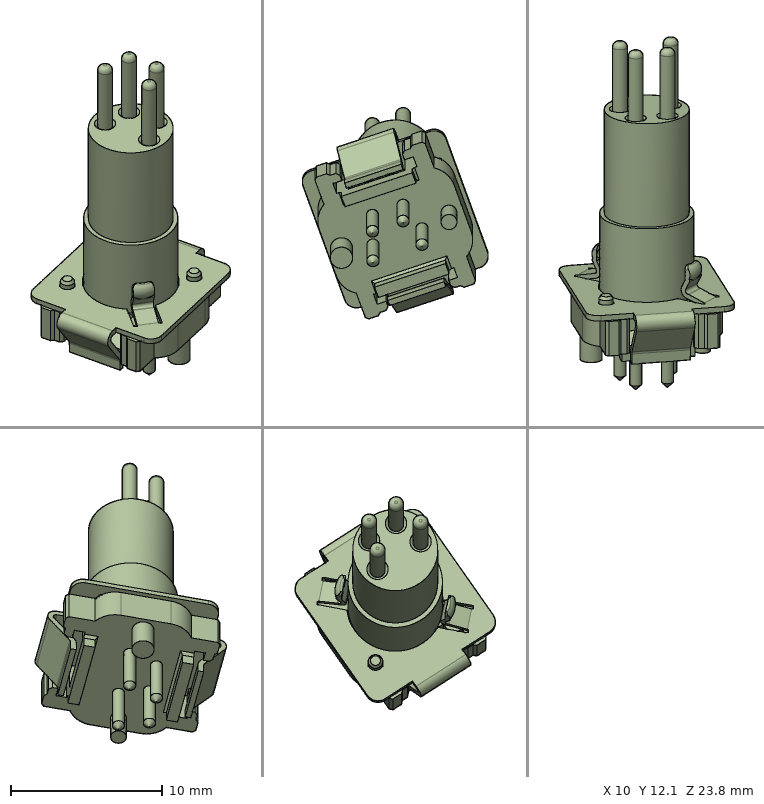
import cadquery as cq
import math


SHEET = 0.38
PLATE_SIDE = 10.0
PLATE_CORNER_RADIUS = 0.83
TUBE_CLEARANCE = 0.07
STUD_CLEARANCE = 0.035

TUBE_RADIUS = 3.12
TUBE_SHOULDER_Z = 5.52
NECK_RADIUS = 2.8
NECK_TOP_Z = 12.78

PIN_SPOTS = [(-1.07, 1.5), (1.07, 1.5), (-1.71, -0.45), (1.71, -0.45)]
PIN_RADIUS = 0.5
PIN_TOP_Z = 17.52
PIN_LENGTH = 23.8
PIN_DOME_RADIUS = 0.4
PIN_SINK_RADIUS = 0.702
TAIL_RADIUS = 0.4
TAIL_TIP_RADIUS = 0.012
TAIL_BOTTOM_Z = PIN_TOP_Z - PIN_LENGTH
TAIL_POINT_LENGTH = TAIL_RADIUS - TAIL_TIP_RADIUS

BASE_DEPTH = 2.43
BASE_HALF_X = 4.71
BASE_ROUND_Y = 1.7
BASE_ROUND_RADIUS = 1.85
ARM_OUTER_X = 3.85
ARM_INNER_X = 2.8
ARM_END_Y = 5.21
ARM_CHAMFER = 0.178
FRONT_Y = 3.71
LIP_INNER_X = 2.2
LIP_BACK_Y = 4.43
LIP_CHAMFER = 0.21

RAMP_BOTTOM_Z = -2.33
RAMP_DEPTH = 0.95
RAMP_RISE = 0.67

FOOT_HALF_X = 2.48
FOOT_INNER_Y = 2.95
FOOT_BOTTOM_Z = -3.43
FOOT_FLARE = 0.17
FOOT_FLARE_HEIGHT = 0.21

PEG_X = 3.75
PEG_BOTTOM_Z = -4.45
SMALL_PEG_RADIUS = 0.52
LARGE_PEG_RADIUS = 0.74
STUD_SPOTS = [(3.3, 2.6), (-3.3, -2.6)]
STUD_RADIUS = 0.48
STUD_TOP_Z = 0.9
STUD_CHAMFER = 0.15
STUD_CHAMFER_HEIGHT = 0.21

CLIP_WIDTH = 3.95
CLIP_REACH = 6.05
CLIP_BEND_RADIUS = 0.62
CLIP_FOLD_RADIUS = 0.29
CLIP_TAB_Y = 4.5
CLIP_BOTTOM_Z = -3.38
CLIP_LEAN = math.radians(54)

FINGER_ANGLES = (135, 315)
FINGER_SHEET = 0.33
FINGER_WIDTH = 1.43
FINGER_SLOT_WIDTH = 1.93
FINGER_ROOT = 4.97
FINGER_BEND_START = (3.71, 0.57)
FINGER_BEND_MIDDLE = (3.35, 0.83)
FINGER_BEND_END = (3.38, 1.15)
HEAD_START = (3.67, 1.7)
HEAD_CREST = (3.85, 2.05)
HEAD_TIP = (3.62, 2.55)
HEAD_BACK = 3.47
HEAD_BOW_RADIUS = 1.45
HEAD_CORNER_RADIUS = 0.29


def cylinder(radius, bottom, top, spots):
    height = top - bottom
    return cq.Workplane("XY").workplane(offset=bottom).pushPoints(spots).circle(radius).extrude(height)


def make_tube():
    tube = cylinder(TUBE_RADIUS, 0, TUBE_SHOULDER_Z, [(0, 0)])
    return tube.union(cylinder(NECK_RADIUS, 0, NECK_TOP_Z, [(0, 0)]))


def make_base():
    """Block with a bulging middle and two lipped arms at each end, from one mirrored quarter."""
    swing = math.acos((ARM_OUTER_X - BASE_HALF_X + BASE_ROUND_RADIUS) / BASE_ROUND_RADIUS)
    round_x = BASE_HALF_X - BASE_ROUND_RADIUS
    middle = (
        round_x + BASE_ROUND_RADIUS * math.cos(swing / 2),
        BASE_ROUND_Y + BASE_ROUND_RADIUS * math.sin(swing / 2),
    )
    end = (ARM_OUTER_X, BASE_ROUND_Y + BASE_ROUND_RADIUS * math.sin(swing))
    lip_y = ARM_END_Y - ARM_CHAMFER
    quarter = (
        cq.Workplane("XY")
        .moveTo(0, 0)
        .lineTo(BASE_HALF_X, 0)
        .lineTo(BASE_HALF_X, BASE_ROUND_Y)
        .threePointArc(middle, end)
        .lineTo(ARM_OUTER_X, lip_y)
        .lineTo(ARM_OUTER_X - ARM_CHAMFER, ARM_END_Y)
        .lineTo(ARM_INNER_X + ARM_CHAMFER, ARM_END_Y)
        .lineTo(ARM_INNER_X, lip_y)
        .lineTo(LIP_INNER_X + LIP_CHAMFER, lip_y)
        .lineTo(LIP_INNER_X, lip_y - LIP_CHAMFER)
        .lineTo(LIP_INNER_X, LIP_BACK_Y)
        .lineTo(ARM_INNER_X, LIP_BACK_Y)
        .lineTo(ARM_INNER_X, FRONT_Y)
        .lineTo(0, FRONT_Y)
        .close()
        .extrude(-BASE_DEPTH)
    )
    half = quarter.union(quarter.mirror("YZ"))
    return half.union(half.mirror("XZ"))


def make_ramp():
    """Space above a ramp that rises inward from the +Y front of the base."""
    back_y = FRONT_Y - RAMP_DEPTH
    corners = [
        (FRONT_Y, RAMP_BOTTOM_Z),
        (back_y, RAMP_BOTTOM_Z + RAMP_RISE),
        (back_y, 0),
        (FRONT_Y, 0),
    ]
    return cq.Workplane("YZ").polyline(corners).close().extrude(CLIP_WIDTH / 2, both=True)


def make_foot(side):
    """Wide foot with a flared top, on the +Y side for side = 1 and the -Y side for side = -1."""
    depth = FRONT_Y - FOOT_INNER_Y
    middle_y = side * (FRONT_Y + FOOT_INNER_Y) / 2
    flare = (
        cq.Workplane("XY")
        .workplane(offset=-BASE_DEPTH)
        .center(0, middle_y - side * FOOT_FLARE / 2)
        .rect(2 * (FOOT_HALF_X + FOOT_FLARE), depth + FOOT_FLARE)
        .workplane(offset=-FOOT_FLARE_HEIGHT)
        .center(0, side * FOOT_FLARE / 2)
        .rect(2 * FOOT_HALF_X, depth)
        .loft()
    )
    leg_height = -BASE_DEPTH - FOOT_BOTTOM_Z
    leg = cq.Workplane("XY").box(2 * FOOT_HALF_X, depth, leg_height, centered=(True, True, False))
    return leg.translate((0, middle_y, FOOT_BOTTOM_Z)).union(flare)


def make_studs():
    studs = cylinder(STUD_RADIUS, 0, STUD_TOP_Z, STUD_SPOTS)
    return studs.faces(">Z").edges().chamfer(STUD_CHAMFER_HEIGHT, STUD_CHAMFER)


def make_pin(spot):
    pin = cylinder(PIN_RADIUS, 0, PIN_TOP_Z, [spot]).faces(">Z").edges().fillet(PIN_DOME_RADIUS)
    tail = cylinder(TAIL_RADIUS, TAIL_BOTTOM_Z, 0, [spot])
    return pin.union(tail.faces("<Z").edges().chamfer(TAIL_POINT_LENGTH))


def make_pin_sink(spot):
    """Conical recess around a pin in the top face of the tube."""
    depth = PIN_SINK_RADIUS - PIN_RADIUS
    cone = cq.Solid.makeCone(PIN_RADIUS, PIN_SINK_RADIUS, depth)
    return cone.translate(cq.Vector(spot[0], spot[1], NECK_TOP_Z - depth))


def make_housing():
    ramp = make_ramp()
    base = make_base().cut(ramp).cut(ramp.mirror("XZ"))
    housing = base.union(make_tube()).union(make_studs())
    for side in (1, -1):
        housing = housing.union(make_foot(side))
    housing = housing.union(cylinder(SMALL_PEG_RADIUS, PEG_BOTTOM_Z, 0, [(-PEG_X, 0)]))
    housing = housing.union(cylinder(LARGE_PEG_RADIUS, PEG_BOTTOM_Z, 0, [(PEG_X, 0)]))
    for spot in PIN_SPOTS:
        housing = housing.cut(cq.Workplane(make_pin_sink(spot)))
    for spot in PIN_SPOTS:
        housing = housing.union(make_pin(spot))
    return housing


def make_clip():
    """Strip that leaves the +Y edge, bends under and ends in an upright tab."""
    bend_y = CLIP_REACH - CLIP_BEND_RADIUS
    bend_z = SHEET - CLIP_BEND_RADIUS
    inner_radius = CLIP_BEND_RADIUS - SHEET
    end_angle = CLIP_LEAN - math.pi / 2
    lean_slope = math.tan(CLIP_LEAN)

    def on_bend(radius, share):
        angle = math.pi / 2 + share * (end_angle - math.pi / 2)
        return (bend_y + radius * math.cos(angle), bend_z + radius * math.sin(angle))

    def lean_z(radius, y):
        start = on_bend(radius, 1)
        return start[1] - (start[0] - y) * lean_slope

    inner_tab_y = CLIP_TAB_Y - SHEET
    outer_fold_z = lean_z(CLIP_BEND_RADIUS, CLIP_TAB_Y)
    inner_fold_z = lean_z(inner_radius, inner_tab_y)
    strip = (
        cq.Workplane("YZ")
        .moveTo(PLATE_SIDE / 2 - SHEET, SHEET)
        .lineTo(bend_y, SHEET)
        .threePointArc(on_bend(CLIP_BEND_RADIUS, 0.5), on_bend(CLIP_BEND_RADIUS, 1))
        .lineTo(CLIP_TAB_Y, outer_fold_z)
        .lineTo(CLIP_TAB_Y, CLIP_BOTTOM_Z)
        .lineTo(inner_tab_y, CLIP_BOTTOM_Z)
        .lineTo(inner_tab_y, inner_fold_z)
        .lineTo(*on_bend(inner_radius, 1))
        .threePointArc(on_bend(inner_radius, 0.5), on_bend(inner_radius, 0))
        .lineTo(PLATE_SIDE / 2 - SHEET, 0)
        .close()
    )
    clip = strip.extrude(CLIP_WIDTH / 2, both=True)
    outer_fold = (0, CLIP_TAB_Y, outer_fold_z)
    inner_fold = (0, inner_tab_y, inner_fold_z)
    clip = clip.edges(cq.NearestToPointSelector(outer_fold)).fillet(CLIP_FOLD_RADIUS)
    return clip.edges(cq.NearestToPointSelector(inner_fold)).fillet(CLIP_FOLD_RADIUS + SHEET)


def make_finger_opening():
    """Slot from the tube hole to the finger root, with a round end on either side of the finger."""
    gap = (FINGER_SLOT_WIDTH - FINGER_WIDTH) / 2
    slot = cq.Workplane("XY").rect(FINGER_ROOT, FINGER_SLOT_WIDTH).extrude(SHEET)
    slot = slot.translate((FINGER_ROOT / 2, 0, 0))
    end_y = (FINGER_WIDTH + gap) / 2
    return slot.union(cylinder(gap / 2, 0, SHEET, [(FINGER_ROOT, end_y), (FINGER_ROOT, -end_y)]))


def make_head():
    """Upper end of a finger: curved sheet swept about an upright axis and cut to a rounded tongue."""
    axis_x = HEAD_CREST[0] - HEAD_BOW_RADIUS
    top_z = HEAD_TIP[1] + FINGER_SHEET / 2
    curve = cq.Workplane("XZ").moveTo(*HEAD_START).threePointArc(HEAD_CREST, HEAD_TIP)
    bowl = curve.offset2D(FINGER_SHEET / 2).revolve(360, (axis_x, 0), (axis_x, 1))
    tongue = cq.Workplane("XY").box(FINGER_ROOT, FINGER_WIDTH, top_z, centered=(False, True, False))
    tongue = tongue.translate((HEAD_BACK, 0, 0)).edges("|X and >Z").fillet(HEAD_CORNER_RADIUS)
    return bowl.intersect(tongue)


def make_finger():
    """Sheet finger along +X: it rises towards the tube, turns up and ends in a bowed head."""
    path = (
        cq.Workplane("XZ")
        .moveTo(FINGER_ROOT, SHEET - FINGER_SHEET / 2)
        .lineTo(*FINGER_BEND_START)
        .threePointArc(FINGER_BEND_MIDDLE, FINGER_BEND_END)
        .lineTo(*HEAD_START)
    )
    strip = path.offset2D(FINGER_SHEET / 2).extrude(FINGER_WIDTH / 2, both=True)
    return strip.union(make_head())


def make_plate():
    plate = cq.Workplane("XY").rect(PLATE_SIDE, PLATE_SIDE).extrude(SHEET)
    plate = plate.edges("|Z").fillet(PLATE_CORNER_RADIUS)
    clip = make_clip()
    plate = plate.union(clip).union(clip.mirror("XZ"))
    plate = plate.cut(cylinder(TUBE_RADIUS + TUBE_CLEARANCE, 0, SHEET, [(0, 0)]))
    plate = plate.cut(cylinder(STUD_RADIUS + STUD_CLEARANCE, 0, SHEET, STUD_SPOTS))
    opening = make_finger_opening()
    finger = make_finger()
    for angle in FINGER_ANGLES:
        plate = plate.cut(opening.rotate((0, 0, 0), (0, 0, 1), angle))
        plate = plate.union(finger.rotate((0, 0, 0), (0, 0, 1), angle))
    return plate


housing = make_housing()
plate = make_plate()
result = cq.Compound.makeCompound([housing.solids().val(), plate.solids().val()])